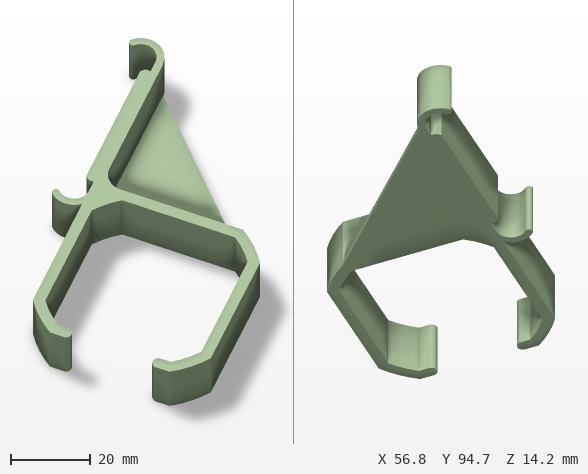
import cadquery as cq
import math

depth = 14.25

channel_inner_width = 42.3
channel_inner_radius = 26.1
channel_wall = 3.0
mouth_width = 22.0
channel_half = channel_inner_width / 2 + channel_wall
channel_outer_radius = channel_inner_radius + channel_wall

arm_thickness = 2.1
arm_left = -channel_half
arm_right = arm_left + arm_thickness
arm_base_fillet = 5.0

clip_center_y = 42.63
pad_thickness = 2.4
pad_height = 37.5
pad_chamfer = 1.0
pad_bottom = clip_center_y - pad_height / 2
pad_top = clip_center_y + pad_height / 2

hook_inner_radius = 4.0
hook_pitch = 43.84
hook_thickness = 1.95
hook_tip_angle = 45.2
hook_x = arm_left - hook_inner_radius
upper_hook_y = clip_center_y + hook_pitch / 2
lower_hook_y = clip_center_y - hook_pitch / 2

web_thickness = 1.25
web_right = math.sqrt(channel_outer_radius**2 - channel_half**2)


def block(x_min, x_max, y_min, y_max):
    """Full-depth rectangular block between the given limits."""
    return (
        cq.Workplane("XY")
        .box(x_max - x_min, y_max - y_min, depth, centered=False)
        .translate((x_min, y_min, 0))
    )


def disc(x, y, radius):
    """Full-depth cylinder about a Z axis through (x, y)."""
    return cq.Workplane("XY").center(x, y).circle(radius).extrude(depth)


def round_cornered_square(half_width, corner_radius):
    """Square prism whose corners are cut by a concentric cylinder."""
    square = block(-half_width, half_width, -half_width, half_width)
    return square.intersect(disc(0, 0, corner_radius))


def make_channel():
    """Channel with an open mouth on -Y and fully rounded lip ends."""
    outer = round_cornered_square(channel_half, channel_outer_radius)
    inner = round_cornered_square(channel_inner_width / 2, channel_inner_radius)
    lip_radius = channel_wall / 2
    lip_x = mouth_width / 2 + lip_radius
    lip_y = -channel_half + lip_radius
    mouth = block(-lip_x, lip_x, -channel_half, lip_y + lip_radius)
    channel = outer.cut(inner).cut(mouth)
    for side in (-1, 1):
        channel = channel.union(disc(side * lip_x, lip_y, lip_radius))
    return channel


def make_arm():
    """Upright arm, filleted onto the channel, with the channel corner below it filled solid."""
    arm = block(arm_left, arm_right, lower_hook_y, upper_hook_y)
    backing = block(arm_left, 0, 0, channel_half)
    backing = backing.cut(round_cornered_square(channel_inner_width / 2, channel_inner_radius))
    corner_x = arm_right + arm_base_fillet
    corner_y = channel_half + arm_base_fillet
    corner = block(arm_right, corner_x, channel_half, corner_y)
    return arm.union(backing).union(corner.cut(disc(corner_x, corner_y, arm_base_fillet)))


def make_pad():
    """Spacer pad with chamfered outer corners."""
    pad = block(arm_left - pad_thickness, arm_left, pad_bottom, pad_top)
    return pad.edges("|Z and <X").chamfer(pad_chamfer)


def make_hook(center_y, direction):
    """Round-tipped arc hook; direction is +1 to curl over +Y, -1 over -Y."""
    outer_radius = hook_inner_radius + hook_thickness
    mean_radius = hook_inner_radius + hook_thickness / 2
    tip_angle = math.radians(180 - hook_tip_angle)
    middle_angle = tip_angle / 2

    def point(radius, angle):
        return (
            hook_x + radius * math.cos(angle),
            center_y + direction * radius * math.sin(angle),
        )

    arc = (
        cq.Workplane("XY")
        .moveTo(*point(hook_inner_radius, 0))
        .lineTo(*point(outer_radius, 0))
        .threePointArc(point(outer_radius, middle_angle), point(outer_radius, tip_angle))
        .lineTo(*point(hook_inner_radius, tip_angle))
        .threePointArc(point(hook_inner_radius, middle_angle), point(hook_inner_radius, 0))
        .close()
        .extrude(depth)
    )
    return arc.union(disc(*point(mean_radius, tip_angle), hook_thickness / 2))


def make_web():
    """Thin triangular gusset flush with the bottom face."""
    return (
        cq.Workplane("XY")
        .moveTo(arm_right, channel_half)
        .lineTo(web_right, channel_half)
        .lineTo(arm_right, upper_hook_y)
        .close()
        .extrude(web_thickness)
    )


result = (
    make_channel()
    .union(make_arm())
    .union(make_pad())
    .union(make_hook(upper_hook_y, 1))
    .union(make_hook(lower_hook_y, -1))
    .union(make_web())
    .clean()
)